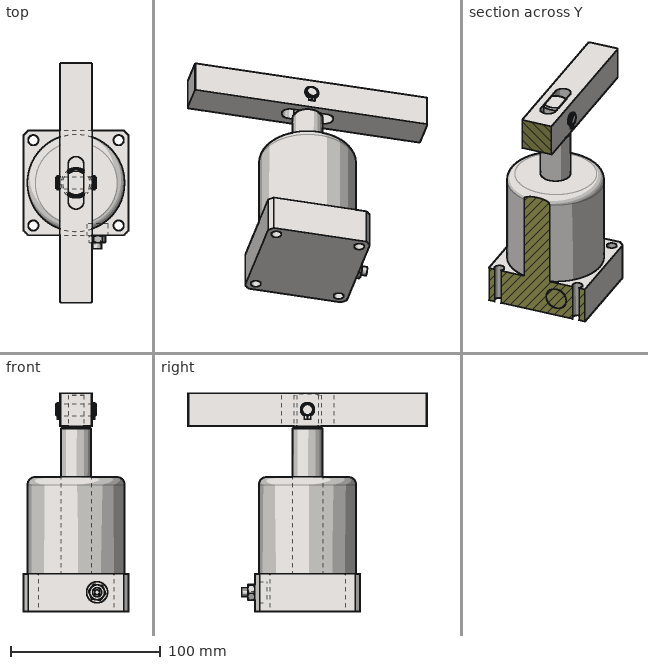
import cadquery as cq

TOTAL_HEIGHT = 146.0

FLANGE_SIDE = 70.0
FLANGE_HEIGHT = 25.3
FLANGE_CORNER_CHAMFER = 3.2
BOLT_SPACING = 57.0
BOLT_HOLE_DIAMETER = 6.7
BODY_DIAMETER = 65.0
BODY_TOP_Z = 90.0
BODY_TOP_FILLET = 5.1

ARM_LENGTH = 160.0
ARM_WIDTH = 21.5
ARM_HEIGHT = 22.0
ARM_EDGE_CHAMFER = 0.6
SLOT_LENGTH = 35.0
SLOT_WIDTH = 10.5
ARM_BOTTOM_Z = TOTAL_HEIGHT - ARM_HEIGHT
PIN_Z = ARM_BOTTOM_Z + ARM_HEIGHT / 2

ROD_DIAMETER = 20.2
ROD_BOTTOM_Z = FLANGE_HEIGHT
SHOULDER_GAP = 0.6
SHOULDER_Z = ARM_BOTTOM_Z - SHOULDER_GAP
TONGUE_DIAMETER = 18.0
SHOULDER_CHAMFER = (ROD_DIAMETER - TONGUE_DIAMETER) / 2
TONGUE_TOP_RECESS = 0.5
TONGUE_TOP_Z = TOTAL_HEIGHT - TONGUE_TOP_RECESS
TONGUE_CHAMFER = 1.1

PIN_DIAMETER = 8.0
PIN_LENGTH = 26.9
PIN_CHAMFER = 0.5
RING_THICKNESS = 0.8
RING_INNER_DIAMETER = 7.5
RING_OUTER_DIAMETER = 9.3
RING_MIDDLE_X = 12.0
RING_GAP = 0.6
LUG_WIDTH = 1.8
LUG_REACH = 6.4

FITTING_X = 14.0
FITTING_Z = 13.0
PLUG_DIAMETER = 14.0
PLUG_DEPTH = 8.0
HEX_CORNER_DIAMETER = 11.5
HEX_LENGTH = 5.0
HEX_TURN = 8.0
HEX_BEVEL = 0.8
SPIGOT_DIAMETER = 6.0
SPIGOT_LENGTH = 4.0
PORT_DIAMETER = 3.4


def upright_cylinder(diameter, bottom_z, top_z):
    return cq.Workplane("XY").workplane(offset=bottom_z).circle(diameter / 2).extrude(top_z - bottom_z)


def cross_cylinder(diameter, length):
    """Cylinder on the pin axis, centred on the rod axis."""
    return cq.Workplane("YZ").center(0, PIN_Z).circle(diameter / 2).extrude(length / 2, both=True)


def fitting_plane(distance):
    """Plane facing -Y on the fitting axis, at a distance in front of the flange face."""
    return cq.Workplane(
        cq.Plane(origin=(FITTING_X, -FLANGE_SIDE / 2 - distance, FITTING_Z), xDir=(1, 0, 0), normal=(0, -1, 0))
    )


def make_housing():
    flange = (
        cq.Workplane("XY")
        .rect(FLANGE_SIDE, FLANGE_SIDE)
        .extrude(FLANGE_HEIGHT)
        .edges("|Z")
        .chamfer(FLANGE_CORNER_CHAMFER)
    )
    body = upright_cylinder(BODY_DIAMETER, FLANGE_HEIGHT, BODY_TOP_Z)
    body = body.faces(">Z").edges().fillet(BODY_TOP_FILLET)
    bolt_holes = (
        cq.Workplane("XY")
        .rect(BOLT_SPACING, BOLT_SPACING, forConstruction=True)
        .vertices()
        .circle(BOLT_HOLE_DIAMETER / 2)
        .extrude(FLANGE_HEIGHT)
    )
    rod_bore = upright_cylinder(ROD_DIAMETER, ROD_BOTTOM_Z, BODY_TOP_Z)
    plug_recess = fitting_plane(0).circle(PLUG_DIAMETER / 2).extrude(-PLUG_DEPTH)
    return flange.union(body).cut(bolt_holes).cut(rod_bore).cut(plug_recess)


def make_arm():
    bar = (
        cq.Workplane("XY")
        .workplane(offset=ARM_BOTTOM_Z)
        .rect(ARM_WIDTH, ARM_LENGTH)
        .extrude(ARM_HEIGHT)
        .edges("|Z")
        .chamfer(ARM_EDGE_CHAMFER)
    )
    slot = (
        cq.Workplane("XY")
        .workplane(offset=ARM_BOTTOM_Z)
        .slot2D(SLOT_LENGTH, SLOT_WIDTH, 90)
        .extrude(ARM_HEIGHT)
    )
    return bar.cut(slot).cut(cross_cylinder(PIN_DIAMETER, ARM_WIDTH))


def make_rod():
    shank = upright_cylinder(ROD_DIAMETER, ROD_BOTTOM_Z, SHOULDER_Z).faces(">Z").chamfer(SHOULDER_CHAMFER)
    tongue_round = upright_cylinder(TONGUE_DIAMETER, SHOULDER_Z, TONGUE_TOP_Z)
    tongue_round = tongue_round.faces(">Z").chamfer(TONGUE_CHAMFER)
    tongue_slab = (
        cq.Workplane("XY")
        .workplane(offset=SHOULDER_Z)
        .rect(SLOT_WIDTH, TONGUE_DIAMETER)
        .extrude(TONGUE_TOP_Z - SHOULDER_Z)
    )
    tongue = tongue_round.intersect(tongue_slab)
    return shank.union(tongue).cut(cross_cylinder(PIN_DIAMETER, ARM_WIDTH))


def ring_blank(side, diameter):
    """Disc of ring thickness on the pin axis, on the -X (side = -1) or +X (side = 1) end."""
    return (
        cq.Workplane("YZ")
        .workplane(offset=side * RING_MIDDLE_X)
        .center(0, PIN_Z)
        .circle(diameter / 2)
        .extrude(RING_THICKNESS / 2, both=True)
    )


def make_pin():
    pin = cross_cylinder(PIN_DIAMETER, PIN_LENGTH).faces("<X or >X").edges().chamfer(PIN_CHAMFER)
    for side in (-1, 1):
        groove = ring_blank(side, PIN_DIAMETER).cut(ring_blank(side, RING_INNER_DIAMETER))
        pin = pin.cut(groove)
    return pin


def make_ring(side):
    lugs = cq.Workplane("XY").box(
        RING_THICKNESS, 2 * LUG_WIDTH + RING_GAP, LUG_REACH, centered=(True, True, False)
    )
    gap = cq.Workplane("XY").box(RING_THICKNESS, RING_GAP, LUG_REACH, centered=(True, True, False))
    lug_place = (side * RING_MIDDLE_X, 0, PIN_Z - LUG_REACH)
    return (
        ring_blank(side, RING_OUTER_DIAMETER)
        .union(lugs.translate(lug_place))
        .cut(ring_blank(side, RING_INNER_DIAMETER))
        .cut(gap.translate(lug_place))
    )


def make_fitting():
    plug = fitting_plane(0).circle(PLUG_DIAMETER / 2).extrude(-PLUG_DEPTH)
    hexagon = (
        fitting_plane(0)
        .transformed(rotate=(0, 0, -HEX_TURN))
        .polygon(6, HEX_CORNER_DIAMETER)
        .extrude(HEX_LENGTH)
    )
    bevel = (
        fitting_plane(0)
        .circle(HEX_CORNER_DIAMETER / 2)
        .extrude(HEX_LENGTH)
        .edges()
        .chamfer(HEX_BEVEL)
    )
    spigot = fitting_plane(HEX_LENGTH).circle(SPIGOT_DIAMETER / 2).extrude(SPIGOT_LENGTH)
    port = fitting_plane(HEX_LENGTH).circle(PORT_DIAMETER / 2).extrude(SPIGOT_LENGTH)
    return plug.union(hexagon.intersect(bevel)).union(spigot).cut(port)


housing = make_housing()
arm = make_arm()
rod = make_rod()
pin = make_pin()
rings = [make_ring(side) for side in (-1, 1)]
fitting = make_fitting()

result = cq.Compound.makeCompound(
    [housing.val(), arm.val(), rod.val(), pin.val(), *[ring.val() for ring in rings], fitting.val()]
)